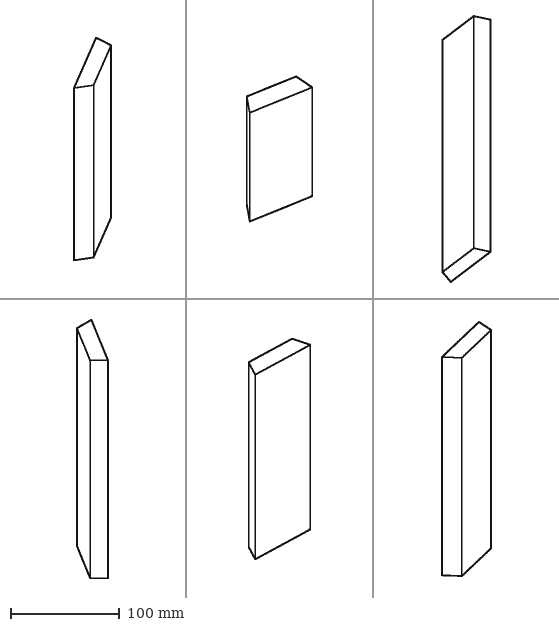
import cadquery as cq

thickness = 16.0
width = 62.7
height = 254.0

front_setback = 9.1
back_setback = 4.0

cross_section = [
    (0, 0),
    (thickness, front_setback),
    (thickness, width - back_setback),
    (0, width),
]

result = cq.Workplane("XY").polyline(cross_section).close().extrude(height)